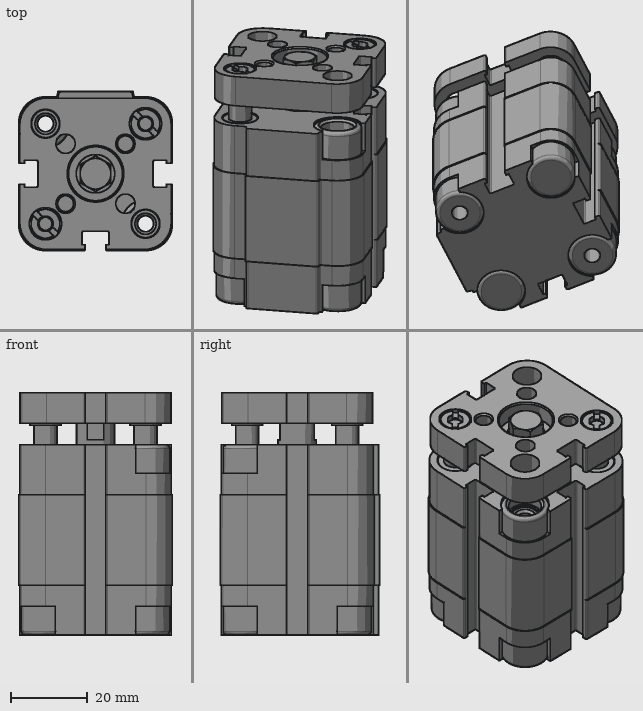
import cadquery as cq
import math

total_height = 63.0
plate_thickness = 8.0
plate_bottom = total_height - plate_thickness
housing_top = 49.5
barrel_bottom = 13.0
barrel_top = 36.5

barrel_half = 20.0
cap_inset = 0.25
corner_centre = 13.0
plate_half = 19.65
plate_corner_radius = 6.85

slot_floor = 15.0
slot_shoulder = 18.4
slot_mouth_half = 2.7
slot_inner_half = 3.45
slot_edge_radius = 0.4
slot_corner_radius = 0.3

rail_top = 21.5
rail_base_half = 10.0
rail_taper = 0.25
rail_edge_radius = 0.45
rail_foot_radius = 0.25

boss_diameter = 12.5
boss_height = 7.5
boss_round = 1.0
boss_wall_start = 10.4

through_diameter = 4.13
screw_bore_diameter = 8.5
screw_bore_depth = 3.4
screw_bore_mouth_diameter = 9.8
screw_step_diameter = 7.2
screw_step_depth = 0.5
screw_cone_diameter = 5.5
screw_cone_depth = 0.7

rod_diameter = 10.0
rod_depth = housing_top - barrel_top
rod_across_flats = 9.0
rod_flat_bottom = 50.75
pin_diameter = 6.0
pin_depth = rod_depth
bearing_diameter = 9.0
bearing_recess_depth = 0.2
bearing_mouth_diameter = 9.4

plate_recess_diameter = 14.0
plate_recess_depth = 4.8
plate_recess_chamfer = 0.375
rod_end_depth = 0.25
hex_across_flats = 8.0
hex_top_depth = 0.2
hex_top = total_height - hex_top_depth
hex_half_angle = 30.0
hex_bevel_angle = 30.0

access_diameter = 7.5
small_hole_circle_radius = 11.0
small_hole_offset = small_hole_circle_radius / math.sqrt(2)
plain_hole_diameter = 5.0
tapped_hole_diameter = 4.13
tapped_mouth_diameter = 5.0

head_bore_diameter = 8.4
head_top_diameter = 7.5
head_depth = 0.2
head_hole_diameter = 4.0
head_hole_depth = 1.3
head_slot_width = 1.5
head_slot_depth = 1.05
stud_top_diameter = 3.4
pin_collar_diameter = 8.1
pin_collar_height = 0.5

pin_corners = [(-corner_centre, -corner_centre), (corner_centre, corner_centre)]
screw_corners = [(-corner_centre, corner_centre), (corner_centre, -corner_centre)]


def cylinder(x, y, bottom, top, diameter):
    return cq.Workplane("XY", origin=(x, y, bottom)).circle(diameter / 2).extrude(top - bottom)


def cone(x, y, bottom, top, bottom_diameter, top_diameter):
    solid = cq.Solid.makeCone(bottom_diameter / 2, top_diameter / 2, top - bottom, cq.Vector(x, y, bottom))
    return cq.Workplane(solid)


def rounded_square(half, corner_radius, bottom, top):
    block = cq.Workplane("XY", origin=(0, 0, bottom)).rect(2 * half, 2 * half).extrude(top - bottom)
    return block.edges("|Z").fillet(corner_radius)


def t_slot(face, bottom, top):
    """T-shaped slot in the +X side, its mouth edges rounded where they meet the given face."""
    inner = cq.Workplane("XY", origin=(0, 0, bottom)).moveTo((slot_floor + slot_shoulder) / 2, 0)
    inner = inner.rect(slot_shoulder - slot_floor, 2 * slot_inner_half).extrude(top - bottom)
    inner = inner.edges("|Z").edges("<X").fillet(slot_corner_radius)
    r = slot_edge_radius
    middle = r * (1 - math.sqrt(0.5))
    mouth = (
        cq.Workplane("XY", origin=(0, 0, bottom))
        .moveTo(slot_floor + r, -slot_mouth_half)
        .lineTo(face - r, -slot_mouth_half)
        .threePointArc((face - middle, -slot_mouth_half - middle), (face, -slot_mouth_half - r))
        .lineTo(face, slot_mouth_half + r)
        .threePointArc((face - middle, slot_mouth_half + middle), (face - r, slot_mouth_half))
        .lineTo(slot_floor + r, slot_mouth_half)
        .close()
        .extrude(top - bottom)
    )
    return inner.union(mouth)


def cut_t_slots(body, face, bottom, top):
    slot = t_slot(face, bottom, top)
    for angle in (0, 180, 270):
        body = body.cut(slot.rotate((0, 0, 0), (0, 0, 1), angle))
    return body


def housing_section(inset, bottom, top):
    """Length of the housing whose whole outline stands back by the inset."""
    half = barrel_half - inset
    base_half = rail_base_half - inset
    top_half = base_half - rail_taper
    rail_outline = [
        (-base_half, 0),
        (-base_half, half),
        (-top_half, rail_top - inset),
        (top_half, rail_top - inset),
        (base_half, half),
        (base_half, 0),
    ]
    rail = cq.Workplane("XY", origin=(0, 0, bottom)).polyline(rail_outline).close().extrude(top - bottom)
    rail = rail.edges("|Z").edges(">Y").fillet(rail_edge_radius)
    section = rounded_square(half, half - corner_centre, bottom, top).union(rail)
    past_end = 1.0
    foot = cq.selectors.BoxSelector(
        (-base_half - rail_taper, half - rail_taper, bottom - past_end),
        (base_half + rail_taper, half + rail_taper, top + past_end),
    )
    section = section.edges("|Z").edges(foot).fillet(rail_foot_radius)
    return cut_t_slots(section, half, bottom, top)


def boss_cutter():
    """Removes the outside corner around the boss at +X, +Y and rounds the boss top at the housing top."""
    bottom = housing_top - boss_height
    size = barrel_half - boss_wall_start
    corner = cq.Workplane("XY", origin=(boss_wall_start, boss_wall_start, bottom))
    corner = corner.rect(size, size, centered=False).extrude(boss_height)
    corner = corner.cut(cylinder(corner_centre, corner_centre, bottom, housing_top, boss_diameter))
    radius = boss_diameter / 2
    inner = radius - boss_round
    middle = boss_round * math.sqrt(0.5)
    groove = (
        cq.Workplane("XZ")
        .moveTo(inner, 0)
        .threePointArc((inner + middle, middle - boss_round), (radius, -boss_round))
        .lineTo(radius, 0)
        .close()
        .revolve(360, (0, 0, 0), (0, 1, 0))
        .translate((corner_centre, corner_centre, housing_top))
    )
    return corner.union(groove)


def cut_bosses(body):
    top_cutter = boss_cutter()
    bottom_cutter = top_cutter.mirror("XY").translate((0, 0, housing_top))
    for angle in (90, 270):
        body = body.cut(top_cutter.rotate((0, 0, 0), (0, 0, 1), angle))
    for angle in (0, 90, 180, 270):
        body = body.cut(bottom_cutter.rotate((0, 0, 0), (0, 0, 1), angle))
    return body


def cut_screw_holes(body):
    bore_floor = housing_top - screw_bore_depth
    step_floor = bore_floor - screw_step_depth
    mouth_depth = (screw_bore_mouth_diameter - screw_bore_diameter) / 2
    for x, y in screw_corners:
        body = body.cut(cylinder(x, y, 0, housing_top, through_diameter))
        body = body.cut(cylinder(x, y, bore_floor, housing_top, screw_bore_diameter))
        body = body.cut(cylinder(x, y, step_floor, bore_floor, screw_step_diameter))
        body = body.cut(
            cone(x, y, housing_top - mouth_depth, housing_top, screw_bore_diameter, screw_bore_mouth_diameter)
        )
        body = body.cut(
            cone(x, y, step_floor - screw_cone_depth, step_floor, through_diameter, screw_cone_diameter)
        )
    return body


def cut_rod_holes(body):
    body = body.cut(cylinder(0, 0, housing_top - rod_depth, housing_top, rod_diameter))
    recess_floor = housing_top - bearing_recess_depth
    for x, y in pin_corners:
        body = body.cut(cylinder(x, y, housing_top - pin_depth, housing_top, pin_diameter))
        body = body.cut(cone(x, y, recess_floor, housing_top, bearing_diameter, bearing_mouth_diameter))
    return body


def make_housing():
    body = housing_section(cap_inset, 0, barrel_bottom)
    body = body.union(housing_section(0, barrel_bottom, barrel_top))
    body = body.union(housing_section(cap_inset, barrel_top, housing_top))
    body = cut_bosses(body)
    body = cut_screw_holes(body)
    return cut_rod_holes(body)


def make_rod():
    """Piston rod with two wrench flats on its upper length."""
    lower = cylinder(0, 0, housing_top - rod_depth, rod_flat_bottom, rod_diameter)
    upper = cylinder(0, 0, rod_flat_bottom, plate_bottom, rod_diameter)
    between_flats = cq.Workplane("XY", origin=(0, 0, rod_flat_bottom)).rect(rod_diameter, rod_across_flats)
    upper = upper.intersect(between_flats.extrude(plate_bottom - rod_flat_bottom))
    return lower.union(upper)


def make_hexagon(bottom):
    """Hexagon with flats on the X sides and its top corners bevelled by a cone."""
    across_corners = hex_across_flats / math.cos(math.radians(hex_half_angle))
    hexagon = cq.Workplane("XY", origin=(0, 0, bottom)).polygon(6, across_corners).extrude(hex_top - bottom)
    hexagon = hexagon.rotate((0, 0, 0), (0, 0, 1), hex_half_angle)
    height = hex_top - bottom
    cone_base = hex_across_flats + 2 * height / math.tan(math.radians(hex_bevel_angle))
    return hexagon.intersect(cone(0, 0, bottom, hex_top, cone_base, hex_across_flats))


def cut_plate_recess(plate):
    floor = total_height - plate_recess_depth
    mouth_diameter = plate_recess_diameter + 2 * plate_recess_chamfer
    mouth_floor = total_height - plate_recess_chamfer
    plate = plate.cut(cylinder(0, 0, floor, total_height, plate_recess_diameter))
    return plate.cut(cone(0, 0, mouth_floor, total_height, plate_recess_diameter, mouth_diameter))


def cut_plate_holes(plate):
    tapped_mouth_floor = total_height - (tapped_mouth_diameter - tapped_hole_diameter) / 2
    for x, y in screw_corners:
        plate = plate.cut(cylinder(x, y, plate_bottom, total_height, access_diameter))
    a = small_hole_offset
    for x, y in ((-a, a), (a, -a)):
        plate = plate.cut(cylinder(x, y, plate_bottom, total_height, plain_hole_diameter))
    for x, y in ((-a, -a), (a, a)):
        plate = plate.cut(cylinder(x, y, plate_bottom, total_height, tapped_hole_diameter))
        plate = plate.cut(
            cone(x, y, tapped_mouth_floor, total_height, tapped_hole_diameter, tapped_mouth_diameter)
        )
    return plate


def bevel_groove(x, y, top, inner_diameter, outer_diameter):
    """Ring-shaped groove left by a 45 degree bevel, open at the top and upright on its outer side."""
    depth = (outer_diameter - inner_diameter) / 2
    bore = cylinder(x, y, top - depth, top, outer_diameter)
    return bore.cut(cone(x, y, top - depth, top, outer_diameter, inner_diameter))


def add_guide_pin(body, x, y):
    """Guide pin with a collar under the plate and a bevelled, slotted head sunk into the plate top."""
    head_top = total_height - head_depth
    stud_top = head_top - head_hole_depth
    body = body.cut(cylinder(x, y, head_top, total_height, head_bore_diameter))
    body = body.cut(bevel_groove(x, y, head_top, head_top_diameter, head_bore_diameter))
    body = body.cut(cylinder(x, y, stud_top, head_top, head_hole_diameter))
    body = body.cut(bevel_groove(x, y, stud_top, stud_top_diameter, head_hole_diameter))
    slot_floor_z = head_top - head_slot_depth
    slot = cq.Workplane("XY", origin=(x, y, slot_floor_z)).transformed(rotate=(0, 0, -45))
    slot = slot.rect(head_bore_diameter, head_slot_width).extrude(head_slot_depth)
    body = body.cut(slot.intersect(cylinder(x, y, slot_floor_z, head_top, head_bore_diameter)))
    collar_bottom = plate_bottom - pin_collar_height
    body = body.union(cylinder(x, y, collar_bottom, plate_bottom, pin_collar_diameter))
    return body.union(cylinder(x, y, housing_top - pin_depth, plate_bottom, pin_diameter))


def make_moving_plate():
    plate = rounded_square(plate_half, plate_corner_radius, plate_bottom, total_height)
    plate = cut_t_slots(plate, plate_half, plate_bottom, total_height)
    plate = cut_plate_recess(plate)
    plate = cut_plate_holes(plate)
    recess_floor = total_height - plate_recess_depth
    rod_end = recess_floor - rod_end_depth
    plate = plate.cut(cylinder(0, 0, rod_end, recess_floor, rod_diameter))
    plate = plate.union(make_hexagon(rod_end))
    plate = plate.union(make_rod())
    for x, y in pin_corners:
        plate = add_guide_pin(plate, x, y)
    return plate


housing = make_housing()
moving_plate = make_moving_plate()

result = cq.Compound.makeCompound([housing.val(), moving_plate.val()])